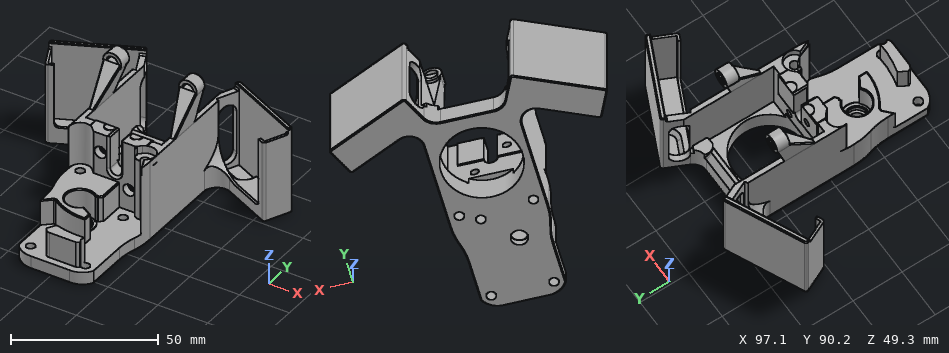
import cadquery as cq
import math

BASE_TOP = 5.3
PLATFORM_TOP = 15.5
FLOOR_TOP = 8.0
RIDGE_TOP = 10.5
SHELF_TOP = 29.5
WALL_TOP = 32.5
PAD_TOP = 32.65
LIP_TOP = 34.7
BOTTOM_CHAMFER = 0.4
FOUNDATION_HEIGHT = 3.0

HALF_WIDTH = 17.25
INNER_HALF_WIDTH = 15.2
NOSE_HALF_WIDTH = 14.95
NOSE_END_Y = -58.5
NOSE_FLAT_HALF = 7.7
NOSE_CORNER_MID = (12.8, -56.95)
NOSE_CORNER_Y = -54.5
TAPER_START_Y = -22.85
TAPER_END_Y = -38.3
FLOOR_BACK_Y = 19.6
FLOOR_HOLE_RADIUS = 14.3

BLOCK_FRONT_Y = -17.8
BLOCK_BACK_Y = -12.0
BACK_PAD_HALF_WIDTH = 11.6
BACK_PAD_DEPTH = 0.6
BACK_PAD_CHAMFER = 0.3
SLOT_RADIUS = 2.3
SLOT_CENTER_Z = 19.5
SLOT_FRONT_CHAMFER = 0.9
SLOT_TOP_CHAMFER = 0.6
CROSS_HOLES = ((-5.7, 25.0), (5.7, 13.7))
CROSS_HOLE_RADIUS = 1.45
CROSS_BORE_RADIUS = 2.3
CROSS_BORE_DEPTH = 3.0
RECESS_CENTER = (5.25, -12.15)
RECESS_RADIUS = 2.2
RECESS_DEPTH = 0.3

REAR_SCREW = (13.0, -19.05)
FRONT_SCREW = (11.0, -53.4)
EXTRA_SCREW = (6.3, -22.3)
SCREW_RADIUS = 1.68
HEAD_RADIUS = 4.1
LEFT_WALL_FRONT_Y = -19.9

GEAR_CENTER = (-4.35, -32.85)
GEAR_POCKET_RADIUS = 5.35
GEAR_RIM_RADIUS = 5.7
GEAR_RIM_DEPTH = 0.3
GEAR_SEAT_RADIUS = 4.1
GEAR_SEAT_DEPTH = 2.5
GEAR_HOLE_RADIUS = 3.0
EDGE_CHAMFER = 0.4

DECK_EDGE_X = 1.9
DECK_EDGE_END_Y = -27.8
THROAT_BACK_CORNER = (0.5, -28.9)
THROAT_BACK = (-0.1, -28.7)
THROAT_FRONT = (-0.1, -36.7)
TONGUE_X = 3.8
TONGUE_BACK_Y = -39.0
TONGUE_FRONT_Y = -42.4
DECK_FRONT_MID = (-4.0, -41.45)
DECK_FRONT_END = (-10.6, -38.1)
DECK_SHOULDER = (-11.5, -38.1)
DECK_SHOULDER_RUNOUT = (-34.5, -59.0)

PEDESTAL_TIP = (-2.2, -50.75)
PEDESTAL_BACK_MID = (3.5, -51.85)
PEDESTAL_BACK_Y = -52.0
PEDESTAL_RIGHT_X = 9.9
PEDESTAL_FRONT_X = -2.0
PEDESTAL_FRONT_Y = -55.8
PEDESTAL_BEVEL = 1.3
PEDESTAL_ROUND_MID = (-3.5, -55.2)
PEDESTAL_LEFT = (-4.15, -54.0)

COLUMN_LEFT_X = 8.3
COLUMN_ROUND_MID = (9.4, -19.6)
COLUMN_ROUND_END = (11.8, -20.35)
COLUMN_SCREW_POINT = (13.2, -20.55)
COLUMN_CORNER = (14.8, -22.4)
COLUMN_END_X = 16.9
COLUMN_END_Y = -28.1
COLUMN_TOP_END_Y = -27.3

RIDGE_FRONT_Y = 15.0
REAR_FILLET = 5.5
RIDGE_BOSS_CENTER = (13.3, 18.2)
RIDGE_BOSS_RADIUS = 3.4

HOLDER_ANGLE = 25.0
HOLDER_CORNER = (-20.0, 29.27)
POCKET_LENGTH = 30.0
POCKET_WIDTH = 9.0
POCKET_FLOOR = 3.6
THIN_WALL = 1.0
BACK_WALL = 1.9
INNER_END_WALL = 2.4
HOLDER_ROUND = 1.0
LIP_BACK_CHAMFER = 0.45
LIP_FRONT_CHAMFER = 0.3
LIP_FOOT = 0.6
GUSSET_RADIUS = 5.0
WINDOW_START = 27.9
WINDOW_END = 1.3
WINDOW_CORNER = 2.0
WINDOW_SWEEP = 13.0
LEFT_SILL = 6.8
RIGHT_SILL = 4.9
END_SLOT_WIDTH = 7.4
END_SLOT_CENTER = -4.7
END_SLOT_BOTTOM = 4.0
END_SLOT_TOP = 28.0
CHANNEL_LENGTH = 11.0
CHANNEL_WIDTH = 6.8
CHANNEL_DEPTH = 1.6
CHANNEL_ROUND = 4.5

RING_X = -15.18
RING_CENTER_Z = 45.6
RING_RADIUS = 3.66
RING_HOLE_RADIUS = 2.27
RING_FRONT_Y = 4.45
RING_BACK_Y = 9.5
ARM_FOOT_FRONT_Y = -7.0
ARM_FOOT_BACK_Y = 5.6
ARM_BEVEL = 0.45

CUT = 100.0
CHAMFER_MARGIN = 0.01


def box(x0, x1, y0, y1, z0, z1):
    return cq.Workplane("XY").box(x1 - x0, y1 - y0, z1 - z0, centered=False).translate((x0, y0, z0))


def cylinder(center, radius, z0, z1):
    return cq.Workplane("XY").workplane(offset=z0).center(*center).circle(radius).extrude(z1 - z0)


def mirrored(solid):
    return solid.mirror("YZ")


def body_outline(height):
    """Plan of the base: straight sides, S-shaped tapers and a rounded nose."""
    shift = HALF_WIDTH - NOSE_HALF_WIDTH
    mid_x = (HALF_WIDTH + NOSE_HALF_WIDTH) / 2
    mid_y = (TAPER_START_Y + TAPER_END_Y) / 2
    half_run = (TAPER_START_Y - TAPER_END_Y) / 2
    radius = (half_run**2 + (shift / 2) ** 2) / shift
    quarter_shift = radius - math.sqrt(radius**2 - (half_run / 2) ** 2)
    upper = (HALF_WIDTH - quarter_shift, TAPER_START_Y - half_run / 2)
    lower = (NOSE_HALF_WIDTH + quarter_shift, TAPER_END_Y + half_run / 2)
    half = (
        cq.Workplane("XY")
        .moveTo(0, FLOOR_BACK_Y)
        .lineTo(HALF_WIDTH, FLOOR_BACK_Y)
        .lineTo(HALF_WIDTH, TAPER_START_Y)
        .threePointArc(upper, (mid_x, mid_y))
        .threePointArc(lower, (NOSE_HALF_WIDTH, TAPER_END_Y))
        .lineTo(NOSE_HALF_WIDTH, NOSE_CORNER_Y)
        .threePointArc(NOSE_CORNER_MID, (NOSE_FLAT_HALF, NOSE_END_Y))
        .lineTo(0, NOSE_END_Y)
        .close()
        .extrude(height)
    )
    return half.union(mirrored(half))


def holder_axes():
    angle = math.radians(HOLDER_ANGLE)
    along = cq.Vector(math.cos(angle), math.sin(angle), 0)
    toward_back = cq.Vector(-math.sin(angle), math.cos(angle), 0)
    return along, toward_back


def holder_plane(normal, x_dir, z=0.0):
    return cq.Workplane(cq.Plane(origin=(*HOLDER_CORNER, z), xDir=x_dir, normal=normal))


def holder_prism(x0, x1, y0, y1, z0, z1):
    along, _ = holder_axes()
    plan = holder_plane(cq.Vector(0, 0, 1), along, z0)
    return plan.center((x0 + x1) / 2, (y0 + y1) / 2).rect(x1 - x0, y1 - y0).extrude(z1 - z0)


def holder_block(height):
    """Outer block of the left holder, trimmed at the inside of the side wall."""
    front = -POCKET_WIDTH - THIN_WALL
    block = holder_prism(-POCKET_LENGTH - THIN_WALL, INNER_END_WALL, front, BACK_WALL, 0, height)
    block = block.edges("|Z").fillet(HOLDER_ROUND)
    return block.intersect(box(-CUT, -INNER_HALF_WIDTH, -CUT, CUT, 0, CUT))


def gusset(height):
    """Concave fillet between the side wall and the front wall of the left holder."""
    along, toward_back = holder_axes()
    front_point = cq.Vector(*HOLDER_CORNER, 0) - toward_back * (POCKET_WIDTH + THIN_WALL)
    reach = (-HALF_WIDTH - front_point.x) / along.x
    corner = front_point + along * reach
    half_angle = math.radians(90 - HOLDER_ANGLE) / 2
    tangent = GUSSET_RADIUS / math.tan(half_angle)
    wall_end = corner - cq.Vector(0, tangent, 0)
    holder_end = corner - along * tangent
    center = wall_end - cq.Vector(GUSSET_RADIUS, 0, 0)
    mid = center + (corner - center).normalized() * GUSSET_RADIUS
    inside_wall = (-INNER_HALF_WIDTH - THIN_WALL, wall_end.y)
    inside_corner = corner + along + toward_back * THIN_WALL / 2
    inside_holder = holder_end + toward_back * THIN_WALL / 2
    return (
        cq.Workplane("XY")
        .moveTo(wall_end.x, wall_end.y)
        .threePointArc((mid.x, mid.y), (holder_end.x, holder_end.y))
        .lineTo(inside_holder.x, inside_holder.y)
        .lineTo(inside_corner.x, inside_corner.y)
        .lineTo(*inside_wall)
        .close()
        .extrude(height)
    )


def holder_window(sill):
    """Opening in the front wall with a wide sweep up to the side wall."""
    along, toward_back = holder_axes()
    sweep_center = (-WINDOW_END - WINDOW_SWEEP, sill + WINDOW_SWEEP)
    diagonal = math.sqrt(0.5)
    sweep_mid = (sweep_center[0] + WINDOW_SWEEP * diagonal, sweep_center[1] - WINDOW_SWEEP * diagonal)
    window = (
        holder_plane(toward_back * -1, along)
        .workplane(offset=POCKET_WIDTH - THIN_WALL)
        .moveTo(-WINDOW_START, LIP_TOP)
        .lineTo(-WINDOW_START, sill + WINDOW_CORNER)
        .radiusArc((-WINDOW_START + WINDOW_CORNER, sill), -WINDOW_CORNER)
        .lineTo(sweep_center[0], sill)
        .threePointArc(sweep_mid, (-WINDOW_END, sweep_center[1]))
        .lineTo(-WINDOW_END, LIP_TOP)
        .close()
        .extrude(2 * POCKET_WIDTH)
    )
    return window.intersect(box(-CUT, -HALF_WIDTH, -CUT, CUT, 0, CUT))


def end_slot():
    along, toward_back = holder_axes()
    length = END_SLOT_TOP - END_SLOT_BOTTOM
    return (
        holder_plane(along, toward_back)
        .workplane(offset=-THIN_WALL)
        .center(END_SLOT_CENTER, END_SLOT_BOTTOM + length / 2)
        .slot2D(length, END_SLOT_WIDTH, 90)
        .extrude(2 * INNER_END_WALL + THIN_WALL)
    )


def holder_lip():
    """Top of the back wall, standing above the other walls, bevelled along both edges."""
    lip = holder_prism(-POCKET_LENGTH - THIN_WALL, INNER_END_WALL, 0, BACK_WALL, POCKET_FLOOR, LIP_TOP)
    along, toward_back = holder_axes()
    back_face = cq.DirectionMinMaxSelector(toward_back)
    lip = lip.faces(back_face).edges("|Z").fillet(HOLDER_ROUND)
    front_face = cq.DirectionMinMaxSelector(toward_back, False)
    lip = lip.faces(back_face).edges(">Z").chamfer(LIP_BACK_CHAMFER)
    lip = lip.faces(front_face).edges(">Z").chamfer(LIP_FRONT_CHAMFER)
    foot = (
        holder_plane(along, toward_back)
        .workplane(offset=-POCKET_LENGTH - THIN_WALL)
        .moveTo(0, WALL_TOP + LIP_FOOT)
        .lineTo(-LIP_FOOT, WALL_TOP)
        .lineTo(0, WALL_TOP)
        .close()
        .extrude(POCKET_LENGTH + THIN_WALL + INNER_END_WALL)
    )
    return lip.union(foot)


def cable_channel():
    """Tapered channel in the holder floor, from the inner end wall to the back wall."""
    along, _ = holder_axes()
    overrun = 2 * CHANNEL_DEPTH
    length = CHANNEL_LENGTH + overrun
    width = CHANNEL_WIDTH + overrun
    profile = (
        holder_plane(cq.Vector(0, 0, -1), along, POCKET_FLOOR)
        .center(overrun - length / 2, width / 2 - overrun)
        .sketch()
        .rect(length, width)
        .vertices()
        .fillet(CHANNEL_ROUND)
        .finalize()
    )
    channel = profile.extrude(CHANNEL_DEPTH, taper=45)
    return channel.intersect(holder_prism(-POCKET_LENGTH, 0, -POCKET_WIDTH, 0, 0, LIP_TOP))


def holder():
    body = holder_block(WALL_TOP).union(gusset(WALL_TOP))
    body = body.cut(box(-CUT, CUT, -CUT, CUT, 0, FOUNDATION_HEIGHT))
    return body.union(holder_lip())


def holder_openings(sill):
    pocket = holder_prism(-POCKET_LENGTH, 0, -POCKET_WIDTH, 0, POCKET_FLOOR, LIP_TOP)
    return pocket.union(holder_window(sill)).union(end_slot())


def foundation():
    """Lowest layer of the whole plan, with its bottom edge bevelled."""
    left = holder_block(FOUNDATION_HEIGHT).union(gusset(FOUNDATION_HEIGHT))
    plan = body_outline(FOUNDATION_HEIGHT).union(rear_plan(FOUNDATION_HEIGHT))
    left = left.union(wall(FLOOR_BACK_Y, FOUNDATION_HEIGHT))
    plan = plan.union(left).union(mirrored(left)).clean()
    return plan.faces("<Z").edges().chamfer(BOTTOM_CHAMFER)


def wall(front_y, height):
    """Left side wall, ending inside the holder."""
    return box(-HALF_WIDTH, -INNER_HALF_WIDTH, front_y, FLOOR_BACK_Y + INNER_END_WALL, 0, height)


def rear_plan(height):
    """Plan of the ridge, with a concave fillet running into the inner end of each holder."""
    along, toward_back = holder_axes()
    end_point = cq.Vector(*HOLDER_CORNER, 0) + along * INNER_END_WALL
    center_y = FLOOR_BACK_Y + REAR_FILLET
    center_x = end_point.x + (REAR_FILLET - (center_y - end_point.y) * along.y) / along.x
    center = cq.Vector(center_x, center_y, 0)
    tangent = center - along * REAR_FILLET
    middle = center + (cq.Vector(0, -1, 0) - along).normalized() * REAR_FILLET
    end_top = tangent + toward_back * INNER_END_WALL
    inside = end_top - along * 2 * INNER_END_WALL
    half = (
        cq.Workplane("XY")
        .moveTo(0, RIDGE_FRONT_Y)
        .lineTo(0, FLOOR_BACK_Y)
        .lineTo(center.x, FLOOR_BACK_Y)
        .threePointArc((middle.x, middle.y), (tangent.x, tangent.y))
        .lineTo(end_top.x, end_top.y)
        .lineTo(inside.x, inside.y)
        .lineTo(-INNER_HALF_WIDTH - THIN_WALL, RIDGE_FRONT_Y)
        .close()
        .extrude(height)
    )
    return half.union(mirrored(half)).clean()


def rear_ridge():
    """Ridge closing the floor at the back, sloped on both sides, with a screw boss at one end."""
    slope = (FLOOR_BACK_Y - RIDGE_FRONT_Y) / 2
    plan = rear_plan(RIDGE_TOP)
    boss = cylinder(RIDGE_BOSS_CENTER, RIDGE_BOSS_RADIUS, 0, RIDGE_TOP).intersect(plan)
    flat_edge = cq.NearestToPointSelector((0, FLOOR_BACK_Y, RIDGE_TOP))
    fillet_edges = plan.faces(">Z").edges("%CIRCLE")
    back_edges = plan.faces(">Z").edges(flat_edge).add(fillet_edges)
    ridge = back_edges.chamfer(slope - CHAMFER_MARGIN)
    front_slope = (
        cq.Workplane("YZ")
        .moveTo(RIDGE_FRONT_Y, RIDGE_TOP - slope)
        .lineTo(RIDGE_FRONT_Y, RIDGE_TOP)
        .lineTo(RIDGE_FRONT_Y + slope, RIDGE_TOP)
        .close()
        .extrude(CUT, both=True)
    )
    return ridge.cut(front_slope).union(boss)


def platform():
    """Raised deck on the left of the gear seat; its free edges are bevelled."""
    outside = -2 * HALF_WIDTH
    deck = (
        cq.Workplane("XY")
        .moveTo(outside, BLOCK_BACK_Y)
        .lineTo(DECK_EDGE_X, BLOCK_BACK_Y)
        .lineTo(DECK_EDGE_X, DECK_EDGE_END_Y)
        .lineTo(*THROAT_BACK_CORNER)
        .lineTo(*THROAT_BACK)
        .lineTo(*GEAR_CENTER)
        .lineTo(*THROAT_FRONT)
        .lineTo(TONGUE_X, TONGUE_BACK_Y)
        .lineTo(TONGUE_X, TONGUE_FRONT_Y)
        .threePointArc(DECK_FRONT_MID, DECK_FRONT_END)
        .lineTo(*DECK_SHOULDER)
        .lineTo(*DECK_SHOULDER_RUNOUT)
        .close()
        .extrude(PLATFORM_TOP)
    )
    deck = deck.cut(cylinder(GEAR_CENTER, GEAR_POCKET_RADIUS, 0, PLATFORM_TOP))
    deck = deck.faces(">Z").edges().chamfer(EDGE_CHAMFER)
    return deck.intersect(body_outline(PLATFORM_TOP))


def pedestal():
    """Free-standing stop beside the front screw."""
    return (
        cq.Workplane("XY")
        .moveTo(*PEDESTAL_TIP)
        .threePointArc(PEDESTAL_BACK_MID, (PEDESTAL_RIGHT_X, PEDESTAL_BACK_Y))
        .lineTo(PEDESTAL_RIGHT_X, PEDESTAL_FRONT_Y + PEDESTAL_BEVEL / 2)
        .lineTo(PEDESTAL_RIGHT_X - PEDESTAL_BEVEL, PEDESTAL_FRONT_Y)
        .lineTo(PEDESTAL_FRONT_X, PEDESTAL_FRONT_Y)
        .threePointArc(PEDESTAL_ROUND_MID, PEDESTAL_LEFT)
        .close()
        .extrude(PLATFORM_TOP)
    )


def right_column(end_y, height):
    """Thickened front end of the right side wall, around the rear screw."""
    column = (
        cq.Workplane("XY")
        .moveTo(COLUMN_LEFT_X, BLOCK_FRONT_Y)
        .threePointArc(COLUMN_ROUND_MID, COLUMN_ROUND_END)
        .lineTo(*COLUMN_SCREW_POINT)
        .lineTo(*COLUMN_CORNER)
        .lineTo(COLUMN_END_X, end_y)
        .lineTo(HALF_WIDTH, end_y)
        .lineTo(HALF_WIDTH, BLOCK_FRONT_Y)
        .close()
        .extrude(height)
    )
    return column.intersect(body_outline(height))


def cross_block():
    """Block between the side walls; its middle is raised a little and stands out at the back."""
    block = box(-HALF_WIDTH, HALF_WIDTH, BLOCK_FRONT_Y, BLOCK_BACK_Y, 0, WALL_TOP)
    wall_end = box(-HALF_WIDTH, -INNER_HALF_WIDTH, LEFT_WALL_FRONT_Y, BLOCK_FRONT_Y, 0, WALL_TOP)
    pad_back = BLOCK_BACK_Y + BACK_PAD_DEPTH
    pad = box(-BACK_PAD_HALF_WIDTH, BACK_PAD_HALF_WIDTH, BLOCK_FRONT_Y, pad_back, SLOT_CENTER_Z, PAD_TOP)
    pad = pad.faces(">Z").edges(">Y or <X or >X").chamfer(BACK_PAD_CHAMFER)
    return block.union(wall_end).union(pad)


def slot_profile(radius, y):
    height = PAD_TOP - SLOT_CENTER_Z
    return (
        cq.Workplane("XZ", origin=(0, y, SLOT_CENTER_Z))
        .moveTo(-radius, 2 * height)
        .lineTo(-radius, 0)
        .threePointArc((0, -radius), (radius, 0))
        .lineTo(radius, 2 * height)
        .close()
    )


def block_slot():
    """Open U slot with a bevelled mouth at the front and bevelled top edges."""
    depth = BLOCK_BACK_Y + BACK_PAD_DEPTH - BLOCK_FRONT_Y
    slot = slot_profile(SLOT_RADIUS, BLOCK_BACK_Y + BACK_PAD_DEPTH).extrude(depth)
    mouth = slot_profile(SLOT_RADIUS + SLOT_FRONT_CHAMFER, BLOCK_FRONT_Y)
    mouth = mouth.extrude(-SLOT_FRONT_CHAMFER, taper=45)
    bevel = (
        cq.Workplane("XZ", origin=(0, BLOCK_BACK_Y + BACK_PAD_DEPTH, PAD_TOP))
        .moveTo(-SLOT_RADIUS - SLOT_TOP_CHAMFER, 0)
        .lineTo(-SLOT_RADIUS, -SLOT_TOP_CHAMFER)
        .lineTo(SLOT_RADIUS, -SLOT_TOP_CHAMFER)
        .lineTo(SLOT_RADIUS + SLOT_TOP_CHAMFER, 0)
        .close()
        .extrude(depth)
    )
    return slot.union(mouth).union(bevel)


def cross_hole(x, z):
    """Horizontal counterbored screw hole through the cross block."""
    depth = BLOCK_BACK_Y + BACK_PAD_DEPTH - BLOCK_FRONT_Y
    front = cq.Workplane("XZ", origin=(x, BLOCK_FRONT_Y, z))
    hole = front.circle(CROSS_HOLE_RADIUS).extrude(-depth)
    return hole.union(front.circle(CROSS_BORE_RADIUS).extrude(-CROSS_BORE_DEPTH))


def gear_seat():
    """Stepped bore in the base below the gear pocket."""
    top = BASE_TOP - GEAR_RIM_DEPTH
    seat = cylinder(GEAR_CENTER, GEAR_SEAT_RADIUS, BASE_TOP - GEAR_SEAT_DEPTH, top)
    bore = cylinder(GEAR_CENTER, GEAR_HOLE_RADIUS, 0, top)
    bevel = cylinder(GEAR_CENTER, GEAR_SEAT_RADIUS + EDGE_CHAMFER, top - EDGE_CHAMFER, top)
    bevel = bevel.edges("<Z").chamfer(EDGE_CHAMFER - CHAMFER_MARGIN)
    return seat.union(bore).union(bevel)


def ring_arm():
    """Left arm rising from the side wall to a ring; it fills the lower half of the ring."""
    foot_x = -(HALF_WIDTH + INNER_HALF_WIDTH) / 2
    foot_y = (ARM_FOOT_FRONT_Y + ARM_FOOT_BACK_Y) / 2
    ring_y = (RING_FRONT_Y + RING_BACK_Y) / 2
    arm = (
        cq.Workplane("XY", origin=(0, 0, WALL_TOP))
        .center(foot_x, foot_y)
        .rect(HALF_WIDTH - INNER_HALF_WIDTH, ARM_FOOT_BACK_Y - ARM_FOOT_FRONT_Y)
        .workplane(offset=RING_CENTER_Z - WALL_TOP)
        .center(RING_X - foot_x, ring_y - foot_y)
        .rect(2 * RING_RADIUS, RING_BACK_Y - RING_FRONT_Y)
        .loft()
    )
    upright_faces = arm.faces("not(|Z)")
    arm = upright_faces.faces("<Y").edges("not(|X)").chamfer(ARM_BEVEL)
    ring = (
        cq.Workplane("XZ", origin=(RING_X, RING_BACK_Y, RING_CENTER_Z))
        .circle(RING_RADIUS)
        .circle(RING_HOLE_RADIUS)
        .extrude(RING_BACK_Y - RING_FRONT_Y)
    )
    return arm.union(ring)


def head_pocket(seat_z):
    """Room for the right rear screw head, opening toward the front along a 45 degree flat."""
    x, y = REAR_SCREW
    reach = HEAD_RADIUS * math.sqrt(0.5)
    flat_run = y + reach - BLOCK_FRONT_Y
    flat = (
        cq.Workplane("XY", origin=(0, 0, seat_z))
        .moveTo(x, y)
        .lineTo(x - reach, y + reach)
        .lineTo(x - reach - flat_run, BLOCK_FRONT_Y)
        .lineTo(x - reach, BLOCK_FRONT_Y)
        .close()
        .extrude(PAD_TOP - seat_z)
    )
    return cylinder(REAR_SCREW, HEAD_RADIUS, seat_z, PAD_TOP).union(flat)


def screw_cuts():
    """Through holes in the base and the room for the screw heads above them."""
    holes = cylinder(REAR_SCREW, SCREW_RADIUS, 0, WALL_TOP)
    holes = holes.union(cylinder(FRONT_SCREW, SCREW_RADIUS, 0, PLATFORM_TOP))
    right = holes.union(head_pocket(SHELF_TOP))
    left = mirrored(holes.union(head_pocket(PLATFORM_TOP)))
    return right.union(left).union(cylinder(EXTRA_SCREW, SCREW_RADIUS, 0, PLATFORM_TOP))


def block_cuts():
    cuts = block_slot()
    for x, z in CROSS_HOLES:
        cuts = cuts.union(cross_hole(x, z))
    for side in (-1, 1):
        center = (side * RECESS_CENTER[0], RECESS_CENTER[1])
        recess = cylinder(center, RECESS_RADIUS, PAD_TOP - RECESS_DEPTH, PAD_TOP)
        cuts = cuts.union(recess)
    return cuts


def build():
    """Join the solids above the bevelled foundation, then cut every opening."""
    floor = box(-HALF_WIDTH, HALF_WIDTH, BLOCK_FRONT_Y, RIDGE_FRONT_Y, 0, FLOOR_TOP)
    side_wall = wall(BLOCK_BACK_Y, WALL_TOP)
    gear_rim = cylinder(GEAR_CENTER, GEAR_RIM_RADIUS, BASE_TOP - GEAR_RIM_DEPTH, BASE_TOP)
    raised = body_outline(BASE_TOP).cut(gear_rim)
    raised = raised.union(platform()).union(pedestal()).union(cross_block())
    raised = raised.union(right_column(COLUMN_END_Y, SHELF_TOP))
    raised = raised.union(right_column(COLUMN_TOP_END_Y, WALL_TOP))
    raised = raised.union(side_wall).union(mirrored(side_wall))
    raised = raised.union(floor).union(rear_ridge())
    raised = raised.cut(box(-CUT, CUT, -CUT, CUT, 0, FOUNDATION_HEIGHT))
    part = foundation().union(raised)
    part = part.union(holder()).union(mirrored(holder()))
    part = part.cut(holder_openings(LEFT_SILL)).cut(mirrored(holder_openings(RIGHT_SILL)))
    part = part.cut(mirrored(cable_channel()))
    part = part.cut(cylinder((0, 0), FLOOR_HOLE_RADIUS, 0, RIDGE_TOP))
    part = part.cut(block_cuts()).cut(gear_seat()).cut(screw_cuts())
    return part.union(ring_arm()).union(mirrored(ring_arm())).clean()


result = build()